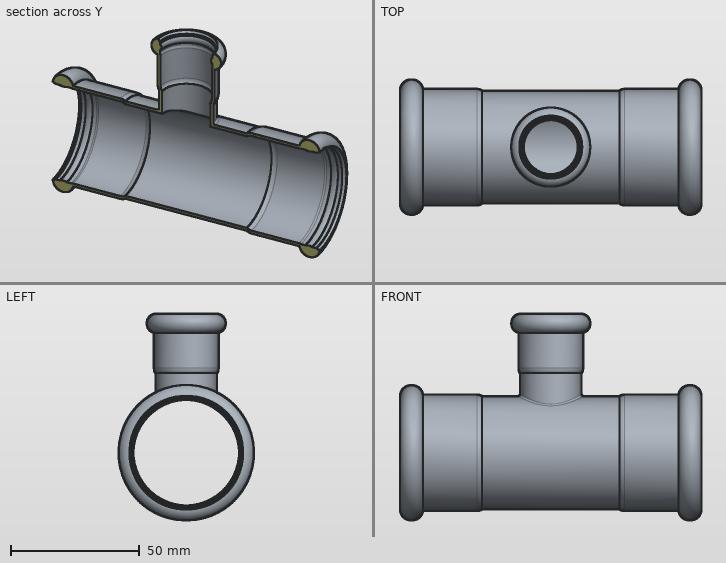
import cadquery as cq
import math

run_length = 117.3
overall_height = 80.35
run_bead_radius = 52.7 / 2

wall = 1.5
step_length = 2.1
junction_fillet = 0.8

run = {
    "length": run_length / 2,
    "tube_radius": 44.0 / 2,
    "socket_radius": 45.4 / 2,
    "socket_depth": 29.9,
    "bead_radius": run_bead_radius,
    "bead_width": 9.05,
    "rim_radius": 22.1,
    "lip_radius": 42.7 / 2,
    "lip_length": 1.4,
    "throat_length": 0.85,
    "ridge_radius": 21.05,
    "ridge_width": 3.0,
}

branch = {
    "length": overall_height - run_bead_radius,
    "tube_radius": 24.0 / 2,
    "socket_radius": 25.3 / 2,
    "socket_depth": 21.0,
    "bead_radius": 30.8 / 2,
    "bead_width": 7.4,
    "rim_radius": 12.25,
    "lip_radius": 22.9 / 2,
    "lip_length": 1.2,
    "throat_length": 1.2,
    "ridge_radius": 21.6 / 2,
    "ridge_width": 3.2,
}


def flared_tube(tube_radius, socket_radius, step_end):
    """Half profile from the origin: tube, then a step rounding smoothly into the wider socket."""
    rise = socket_radius - tube_radius
    round_radius = (step_length**2 + rise**2) / (2 * rise)
    half_way = step_length / 2
    drop = round_radius - math.sqrt(round_radius**2 - half_way**2)
    return (
        cq.Workplane("XZ")
        .lineTo(tube_radius, 0)
        .lineTo(tube_radius, step_end - step_length)
        .threePointArc((socket_radius - drop, step_end - half_way), (socket_radius, step_end))
    )


def revolve_about_z(profile):
    return profile.close().revolve(360, (0, 0), (0, 1))


def arm_body(arm):
    """Solid outside shape of one arm along +Z, with the rounded bead at its mouth."""
    mouth = arm["length"]
    bead_width = arm["bead_width"]
    profile = (
        flared_tube(arm["tube_radius"], arm["socket_radius"], mouth - arm["socket_depth"])
        .lineTo(arm["socket_radius"], mouth - bead_width)
        .threePointArc((arm["bead_radius"], mouth - bead_width / 2), (arm["rim_radius"], mouth))
        .lineTo(0, mouth)
    )
    return revolve_about_z(profile)


def arm_bore(arm):
    """Hollow of one arm along +Z: tube, socket, tapered throat, sealing ridge and tapered lip."""
    mouth = arm["length"]
    lip_radius = arm["lip_radius"]
    tube_bore = arm["tube_radius"] - wall
    socket_bore = arm["socket_radius"] - wall

    throat_start = mouth - arm["bead_width"]
    throat_end = throat_start + arm["throat_length"]
    lip_start = mouth - arm["lip_length"]

    ridge_middle = (throat_end + lip_start) / 2
    ridge_start = ridge_middle - arm["ridge_width"] / 2
    ridge_end = ridge_middle + arm["ridge_width"] / 2

    profile = (
        flared_tube(tube_bore, socket_bore, mouth - arm["socket_depth"])
        .lineTo(socket_bore, throat_start)
        .lineTo(lip_radius, throat_end)
        .lineTo(lip_radius, ridge_start)
        .threePointArc((arm["ridge_radius"], ridge_middle), (lip_radius, ridge_end))
        .lineTo(lip_radius, lip_start)
        .lineTo(arm["rim_radius"], mouth)
        .lineTo(0, mouth)
    )
    return revolve_about_z(profile)


def along_run(arm_solid):
    """Turn an arm onto +X and add its mirror image on -X."""
    right_arm = arm_solid.rotate((0, 0, 0), (0, 1, 0), 90)
    return right_arm.union(right_arm.mirror("YZ"))


def round_junction(body):
    """Fillet the saddle-shaped seam where the branch meets the run."""
    seam_reach = branch["tube_radius"] + junction_fillet
    seam_box = cq.selectors.BoxSelector(
        (-seam_reach, -seam_reach, run["tube_radius"] / 2),
        (seam_reach, seam_reach, run["tube_radius"] + junction_fillet),
    )
    return body.edges(seam_box).fillet(junction_fillet)


outside = round_junction(along_run(arm_body(run)).union(arm_body(branch)))
result = outside.cut(along_run(arm_bore(run))).cut(arm_bore(branch))